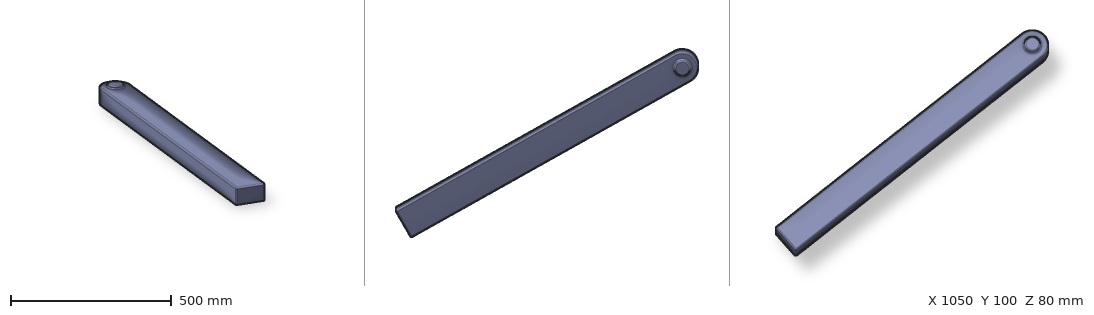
import cadquery as cq

total_length = 1050.0
arm_width = 100.0
arm_thickness = 60.0
arm_edge_fillet = 5.0

pin_diameter = 50.0
pin_length = 80.0

end_radius = arm_width / 2
straight_length = total_length - end_radius
half_thickness = arm_thickness / 2
pin_radius = pin_diameter / 2
pin_half_length = pin_length / 2
pin_fillet = (pin_half_length - half_thickness) / 2


def make_arm():
    """Bar whose rounded end is centred on the Z axis, with every outer edge filleted."""
    bar = (
        cq.Workplane("XY")
        .workplane(offset=-half_thickness)
        .moveTo(0, end_radius)
        .lineTo(straight_length, end_radius)
        .lineTo(straight_length, -end_radius)
        .lineTo(0, -end_radius)
        .threePointArc((-end_radius, 0), (0, end_radius))
        .close()
        .extrude(arm_thickness)
    )
    outer_edges = bar.faces("|Z or >X").edges()
    return outer_edges.fillet(arm_edge_fillet)


def make_pin_end():
    """Upper half of the pin: a revolved S-profile of root fillet and rim fillet."""
    root_radius = pin_radius + pin_fillet
    rim_radius = pin_radius - pin_fillet
    shoulder_height = half_thickness + pin_fillet
    return (
        cq.Workplane("XZ")
        .lineTo(root_radius, 0)
        .lineTo(root_radius, half_thickness)
        .radiusArc((pin_radius, shoulder_height), pin_fillet)
        .radiusArc((rim_radius, pin_half_length), -pin_fillet)
        .lineTo(0, pin_half_length)
        .close()
        .revolve(360, (0, 0), (0, 1))
    )


upper_pin = make_pin_end()
lower_pin = upper_pin.mirror("XY")

result = make_arm().union(upper_pin).union(lower_pin)